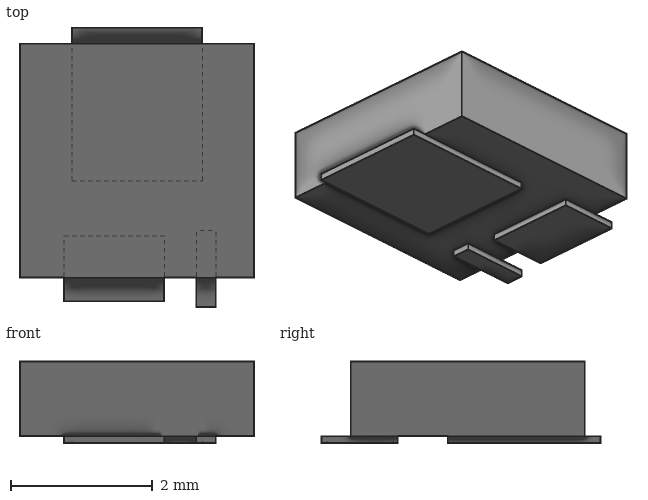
import cadquery as cq

overall_length = 3.94

housing_side = 3.3
housing_height = 1.052

lead_thickness = 0.1

back_width = 1.835
back_length = 2.16
back_overhang = 0.225

front_width = 1.415
front_length = 0.925
front_overhang = 0.335
front_center_x = -0.325

narrow_width = 0.28
narrow_length = 1.08
narrow_overhang = overall_length - housing_side - back_overhang
narrow_center_x = 0.975

half_side = housing_side / 2


def make_housing():
    """Plain block sitting on top of the leads."""
    block = cq.Workplane("XY").box(housing_side, housing_side, housing_height, centered=(True, True, False))
    return block.translate((0, 0, lead_thickness))


def make_lead(width, length, center_x, front_y):
    """Flat strip on Z = 0 that runs toward +Y from front_y."""
    strip = cq.Workplane("XY").box(width, length, lead_thickness, centered=(True, False, False))
    return strip.translate((center_x, front_y, 0))


housing = make_housing()
back_lead = make_lead(back_width, back_length, 0, half_side + back_overhang - back_length)
front_lead = make_lead(front_width, front_length, front_center_x, -half_side - front_overhang)
narrow_lead = make_lead(narrow_width, narrow_length, narrow_center_x, -half_side - narrow_overhang)

result = cq.Compound.makeCompound([
    housing.val(),
    back_lead.val(),
    front_lead.val(),
    narrow_lead.val(),
])